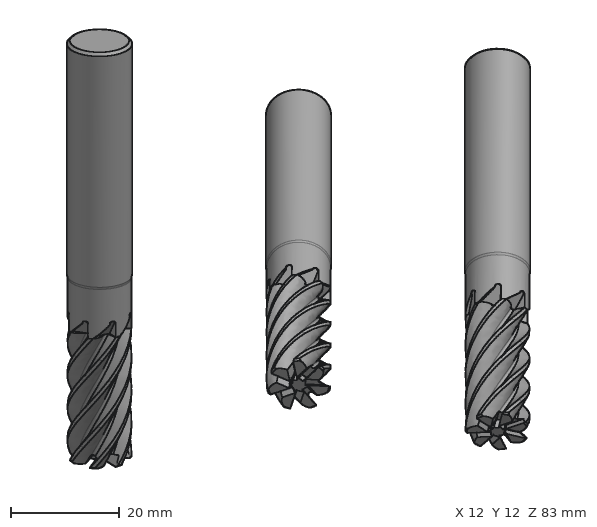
import cadquery as cq
import math

TOTAL_LENGTH = 83.0
CUTTER_LENGTH = 26.0
NECK_TOP = 35.9
NECK_CONE_HEIGHT = 0.5

SHANK_RADIUS = 12.0 / 2
NECK_RADIUS = 11.8 / 2
CUTTER_RADIUS = NECK_RADIUS
TOP_CHAMFER = 0.6
CORNER_CHAMFER = 0.3

FLUTES = 7
FLUTE_PITCH = 360.0 / FLUTES
HELIX_LEAD = 45.9
EDGE_ANGLE = -74.3
LAND_ANGLE = 9.0
BACK_ANGLE = 20.0
BACK_RADIUS = 5.15
BACK_FOOT_ANGLE = 32.0
BACK_FOOT_RADIUS = 4.0
FLOOR_ANGLE = 39.0
CORE_RADIUS = 3.65
RAKE_FOOT_ANGLE = 45.0
RAKE_FOOT_RADIUS = 3.9
TWIST = 360.0 * CUTTER_LENGTH / HELIX_LEAD
FIRST_EDGE_ANGLE = EDGE_ANGLE - TWIST

GASH_HEIGHT = 1.8
GASH_WIDTH = 1.4
GASH_LEAN = 1.1
GASH_INNER_RADIUS = 1.25

RUNOUT_HEIGHT = 3.3
RUNOUT_FOOT_WIDTH = 4.0
RUNOUT_TIP_WIDTH = 1.2
RUNOUT_TIP_DEPTH = 0.1


def polar(radius, angle):
    """Point in the XY plane at a radius and an angle in degrees."""
    a = math.radians(angle)
    return (radius * math.cos(a), radius * math.sin(a))


def tooth_section():
    """Cross-section of the cutter at Z = 0, one tooth and one gullet per pitch."""
    section = cq.Workplane("XY").moveTo(*polar(CUTTER_RADIUS, FIRST_EDGE_ANGLE))
    for i in range(FLUTES):
        edge = FIRST_EDGE_ANGLE + i * FLUTE_PITCH
        section = (
            section
            .threePointArc(
                polar(CUTTER_RADIUS, edge + LAND_ANGLE / 2),
                polar(CUTTER_RADIUS, edge + LAND_ANGLE),
            )
            .threePointArc(
                polar(BACK_RADIUS, edge + BACK_ANGLE),
                polar(BACK_FOOT_RADIUS, edge + BACK_FOOT_ANGLE),
            )
            .threePointArc(
                polar(CORE_RADIUS, edge + FLOOR_ANGLE),
                polar(RAKE_FOOT_RADIUS, edge + RAKE_FOOT_ANGLE),
            )
        )
        if i < FLUTES - 1:
            section = section.lineTo(*polar(CUTTER_RADIUS, edge + FLUTE_PITCH))
    return section.close()


def make_cutter():
    """Fluted cutting head with a chamfered corner and end gashes."""
    envelope = (
        cq.Workplane("XY")
        .circle(CUTTER_RADIUS)
        .extrude(CUTTER_LENGTH)
        .faces("<Z")
        .chamfer(CORNER_CHAMFER)
    )
    cutter = tooth_section().twistExtrude(CUTTER_LENGTH, TWIST).intersect(envelope)
    gash = (
        cq.Workplane("YZ")
        .workplane(offset=GASH_INNER_RADIUS)
        .polyline([
            (0, 0),
            (-GASH_WIDTH, 0),
            (GASH_LEAN - GASH_WIDTH, GASH_HEIGHT),
            (GASH_LEAN, GASH_HEIGHT),
        ])
        .close()
        .extrude(CUTTER_RADIUS)
    )
    for i in range(FLUTES):
        edge = FIRST_EDGE_ANGLE + i * FLUTE_PITCH
        cutter = cutter.cut(gash.rotate((0, 0, 0), (0, 0, 1), edge))
    return cutter


def make_runout_tool():
    """Notch along +X that a flute leaves in the neck, its flat floor rising to the neck surface."""
    tip_radius = RUNOUT_TIP_WIDTH / 2
    runout_top = CUTTER_LENGTH + RUNOUT_HEIGHT
    reach = NECK_RADIUS + CORE_RADIUS
    outline = (
        cq.Workplane("YZ", origin=(0, 0, CUTTER_LENGTH))
        .moveTo(0, 0)
        .lineTo(0, RUNOUT_HEIGHT - tip_radius)
        .threePointArc((-tip_radius, RUNOUT_HEIGHT), (-RUNOUT_TIP_WIDTH, RUNOUT_HEIGHT - tip_radius))
        .lineTo(-RUNOUT_FOOT_WIDTH, 0)
        .close()
        .extrude(reach)
    )
    above_floor = (
        cq.Workplane("XZ")
        .polyline([
            (CORE_RADIUS, CUTTER_LENGTH),
            (NECK_RADIUS - RUNOUT_TIP_DEPTH, runout_top),
            (reach, runout_top),
            (reach, CUTTER_LENGTH),
        ])
        .close()
        .extrude(RUNOUT_FOOT_WIDTH, both=True)
    )
    return outline.intersect(above_floor)


def make_shank():
    """Shank with a relieved neck, notched where the flutes run out."""
    shank = cq.Workplane("XZ").polyline([
        (0, CUTTER_LENGTH),
        (NECK_RADIUS, CUTTER_LENGTH),
        (NECK_RADIUS, NECK_TOP),
        (SHANK_RADIUS, NECK_TOP + NECK_CONE_HEIGHT),
        (SHANK_RADIUS, TOTAL_LENGTH - TOP_CHAMFER),
        (SHANK_RADIUS - TOP_CHAMFER, TOTAL_LENGTH),
        (0, TOTAL_LENGTH),
    ]).close().revolve(360, (0, 0, 0), (0, 1, 0))
    runout = make_runout_tool()
    for i in range(FLUTES):
        shank = shank.cut(runout.rotate((0, 0, 0), (0, 0, 1), EDGE_ANGLE + i * FLUTE_PITCH))
    return shank


cutter = make_cutter()
shank = make_shank()
result = cq.Compound.makeCompound([cutter.solids().val(), shank.solids().val()])